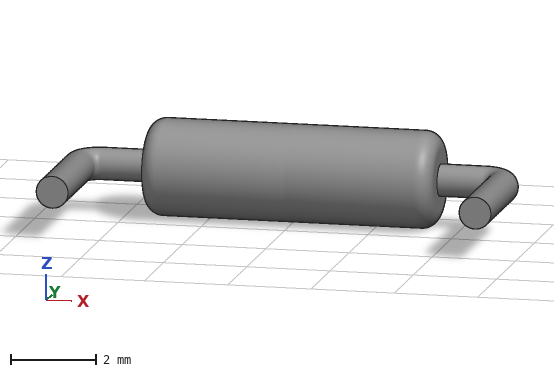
import cadquery as cq

overall_length = 10.92
overall_depth = 4.45
body_length = 7.0
body_diameter = 2.3
body_edge_radius = 0.4
lead_diameter = 0.76
bend_radius = 0.5

lead_x = (overall_length - lead_diameter) / 2
tip_y = body_diameter / 2 - overall_depth
bend_start_x = lead_x - bend_radius


def make_body():
    """Cylinder along X, centered on the origin, with rounded ends."""
    return (
        cq.Workplane("YZ")
        .circle(body_diameter / 2)
        .extrude(body_length / 2, both=True)
        .edges()
        .fillet(body_edge_radius)
    )


def make_right_lead():
    """Round wire from the body center out along +X, then bent to -Y."""
    centerline = (
        cq.Workplane("XY")
        .lineTo(bend_start_x, 0)
        .tangentArcPoint((lead_x, -bend_radius), relative=False)
        .lineTo(lead_x, tip_y)
    )
    return cq.Workplane("YZ").circle(lead_diameter / 2).sweep(centerline)


right_lead = make_right_lead()
left_lead = right_lead.mirror("YZ")
result = make_body().union(right_lead).union(left_lead)